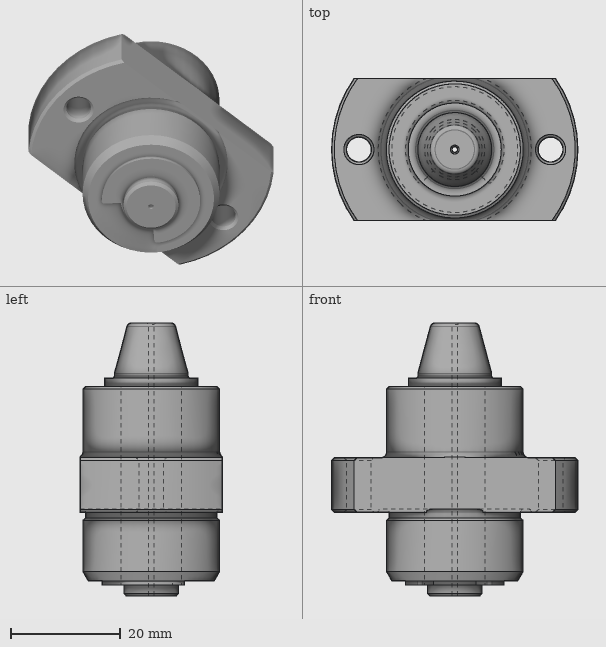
import cadquery as cq
import math


flange_radius = 22.5
flange_width = 26.0
flange_thickness = 10.0
flange_chamfer = 0.5

hole_spacing = 35.0
hole_diameter = 4.5
hole_chamfer = 0.5

barrel_radius = 12.5
barrel_top = 23.0
barrel_bottom = -12.5
barrel_top_chamfer = 0.5
flange_fillet = 1.0
lead_in_depth = 1.0
lead_in_angle = 30.0

groove_radius = 12.0
groove_face_radius = 14.0
groove_height = 1.0
groove_depth = 0.6
groove_fillet = 0.5

ring_radius = 9.0
ring_height = 0.8
ring_opening_angle = 90.0
ring_tip_fillet = 0.6

shank_radius = 5.5
stub_radius = 5.0
stub_length = 2.0
stub_chamfer = 0.5
collar_radius = 8.5
collar_height = 1.5
cone_base_radius = 6.75
cone_land_height = 0.9
cone_root_fillet = 0.4
cone_height = 9.2
cone_half_angle = 15.0
cone_tip_fillet = 0.9
bore_radius = 0.5
bore_chamfer = 0.3

ring_bottom = barrel_bottom - ring_height
stub_bottom = ring_bottom - stub_length
collar_top = barrel_top + collar_height
cone_base = collar_top + cone_land_height
cone_top = cone_base + cone_height
cone_top_radius = cone_base_radius - cone_height * math.tan(math.radians(cone_half_angle))


def cylinder(radius, bottom, top):
    """Cylinder about the Z axis between two heights."""
    return cq.Workplane("XY").workplane(offset=bottom).circle(radius).extrude(top - bottom)


def flare_arc_middle(radius, height, fillet):
    """Middle of the concave arc that flares a shaft of given radius into a face at given height."""
    reach = fillet * (1 - math.sqrt(0.5))
    return (radius + reach, height + reach)


def make_flange():
    """Chamfered disc with two flats, parallel to X."""
    disc = cylinder(flange_radius, 0, flange_thickness).edges().chamfer(flange_chamfer)
    flats = cq.Workplane("XY").rect(2 * flange_radius, flange_width).extrude(flange_thickness)
    return disc.intersect(flats)


def make_upper_barrel():
    """Barrel above the flange, flaring into it and trimmed by the flange flats."""
    flare_middle = flare_arc_middle(barrel_radius, flange_thickness, flange_fillet)
    flare_top = flange_thickness + flange_fillet
    profile = (
        cq.Workplane("XZ")
        .moveTo(0, flange_thickness)
        .lineTo(barrel_radius + flange_fillet, flange_thickness)
        .threePointArc(flare_middle, (barrel_radius, flare_top))
        .lineTo(barrel_radius, barrel_top - barrel_top_chamfer)
        .lineTo(barrel_radius - barrel_top_chamfer, barrel_top)
        .lineTo(0, barrel_top)
        .close()
    )
    flats = (
        cq.Workplane("XY")
        .workplane(offset=flange_thickness)
        .rect(2 * flange_radius, flange_width)
        .extrude(barrel_top - flange_thickness)
    )
    return profile.revolve(360, (0, 0), (0, 1)).intersect(flats)


def make_lower_barrel():
    """Barrel below the flange, with its groove neck and tapered lead-in."""
    neck_step = barrel_radius - groove_radius
    taper_height = lead_in_depth / math.tan(math.radians(lead_in_angle))
    profile = (
        cq.Workplane("XZ")
        .moveTo(0, 0)
        .lineTo(groove_radius, 0)
        .lineTo(groove_radius, -groove_height)
        .lineTo(barrel_radius, -groove_height - neck_step)
        .lineTo(barrel_radius, barrel_bottom + taper_height)
        .lineTo(barrel_radius - lead_in_depth, barrel_bottom)
        .lineTo(0, barrel_bottom)
        .close()
    )
    return profile.revolve(360, (0, 0), (0, 1))


def make_face_groove():
    """Round-cornered annular groove in the underside of the flange."""
    groove = cylinder(groove_face_radius, 0, groove_depth).cut(cylinder(groove_radius, 0, groove_depth))
    return groove.faces(">Z").edges().fillet(groove_fillet)


def make_mounting_hole():
    """Through hole with a chamfer at both ends, as a cutter."""
    hole_radius = hole_diameter / 2
    mouth_radius = hole_radius + hole_chamfer
    profile = (
        cq.Workplane("XZ")
        .lineTo(mouth_radius, 0)
        .lineTo(hole_radius, hole_chamfer)
        .lineTo(hole_radius, flange_thickness - hole_chamfer)
        .lineTo(mouth_radius, flange_thickness)
        .lineTo(0, flange_thickness)
        .close()
    )
    return profile.revolve(360, (0, 0), (0, 1))


def make_locating_ring():
    """Disc with a wedge removed on the -Y side; its two tips are rounded."""
    half_angle = math.radians(ring_opening_angle / 2)
    wedge_depth = 2 * ring_radius
    wedge_half_width = wedge_depth * math.tan(half_angle)
    wedge = (
        cq.Workplane("XY")
        .workplane(offset=ring_bottom)
        .polyline([(0, 0), (wedge_half_width, -wedge_depth), (-wedge_half_width, -wedge_depth)])
        .close()
        .extrude(ring_height)
    )
    ring = cylinder(ring_radius, ring_bottom, barrel_bottom).cut(wedge)
    tip_y = -ring_radius * math.cos(half_angle)
    for side in (-1, 1):
        tip = (side * ring_radius * math.sin(half_angle), tip_y, barrel_bottom)
        ring = ring.edges(cq.selectors.NearestToPointSelector(tip)).edges("|Z").fillet(ring_tip_fillet)
    return ring


def make_housing():
    """Flange, barrels and locating ring, bored through for the nozzle insert."""
    housing = make_flange().union(make_upper_barrel()).union(make_lower_barrel())
    housing = housing.union(make_locating_ring()).cut(make_face_groove())
    for side in (-1, 1):
        housing = housing.cut(make_mounting_hole().translate((side * hole_spacing / 2, 0, 0)))
    return housing.cut(cylinder(shank_radius, ring_bottom, barrel_top))


def make_nozzle_bore():
    """Fine bore through the whole insert, chamfered at the tip, as a cutter."""
    profile = (
        cq.Workplane("XZ")
        .moveTo(0, stub_bottom)
        .lineTo(bore_radius, stub_bottom)
        .lineTo(bore_radius, cone_top - bore_chamfer)
        .lineTo(bore_radius + bore_chamfer, cone_top)
        .lineTo(0, cone_top)
        .close()
    )
    return profile.revolve(360, (0, 0), (0, 1))


def make_nozzle():
    """Stub, shank, collar and cone; the collar rests on top of the housing."""
    root_middle = flare_arc_middle(cone_base_radius, collar_top, cone_root_fillet)
    root_top = collar_top + cone_root_fillet
    profile = (
        cq.Workplane("XZ")
        .moveTo(0, stub_bottom)
        .lineTo(stub_radius - stub_chamfer, stub_bottom)
        .lineTo(stub_radius, stub_bottom + stub_chamfer)
        .lineTo(stub_radius, ring_bottom)
        .lineTo(shank_radius, ring_bottom)
        .lineTo(shank_radius, barrel_top)
        .lineTo(collar_radius, barrel_top)
        .lineTo(collar_radius, collar_top)
        .lineTo(cone_base_radius + cone_root_fillet, collar_top)
        .threePointArc(root_middle, (cone_base_radius, root_top))
        .lineTo(cone_base_radius, cone_base)
        .lineTo(cone_top_radius, cone_top)
        .lineTo(0, cone_top)
        .close()
    )
    nozzle = profile.revolve(360, (0, 0), (0, 1))
    nozzle = nozzle.faces(">Z").edges().fillet(cone_tip_fillet)
    return nozzle.cut(make_nozzle_bore())


housing = make_housing()
nozzle = make_nozzle()
result = cq.Compound.makeCompound([housing.solids().val(), nozzle.solids().val()])